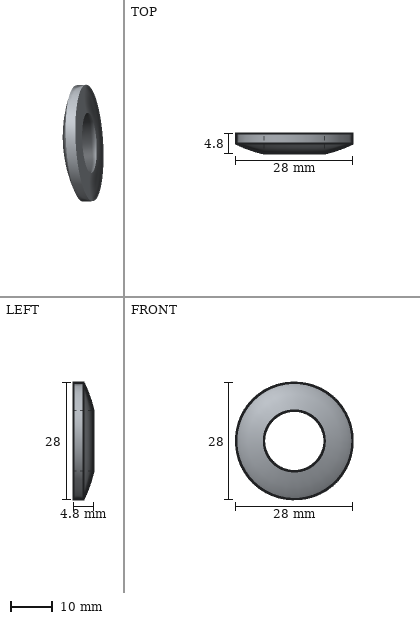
import cadquery as cq
import math

outer_diameter = 28.0
bore_diameter = 14.5
thickness = 4.8
rim_thickness = thickness / 2

outer_radius = outer_diameter / 2
bore_radius = bore_diameter / 2
dome_rise = thickness - rim_thickness

rim_to_center = (outer_radius**2 - bore_radius**2 - dome_rise**2) / (2 * dome_rise)
dome_radius = math.hypot(outer_radius, rim_to_center)
dome_center_y = rim_to_center - rim_thickness


def dome_y(radius):
    """Y of the dome surface at a given distance from the washer axis."""
    return dome_center_y - math.sqrt(dome_radius**2 - radius**2)


def washer():
    """Revolve the half section about the Y axis."""
    middle_radius = (outer_radius + bore_radius) / 2
    section = (
        cq.Workplane("XY")
        .moveTo(bore_radius, 0)
        .lineTo(outer_radius, 0)
        .lineTo(outer_radius, -rim_thickness)
        .threePointArc((middle_radius, dome_y(middle_radius)), (bore_radius, -thickness))
        .close()
    )
    return section.revolve(360, (0, 0, 0), (0, 1, 0))


result = washer()